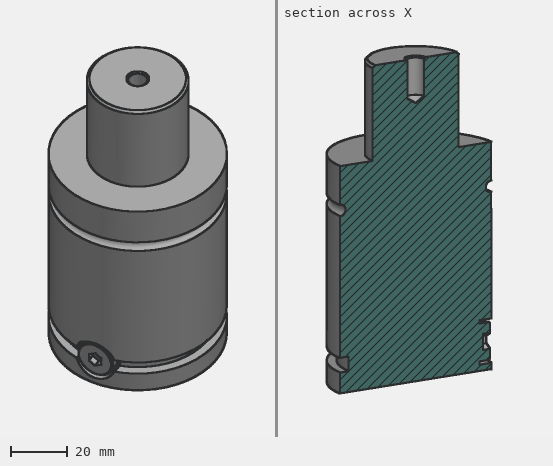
import cadquery as cq
import math

total_height = 118.0
body_radius = 63.0 / 2
body_height = 83.2
rod_radius = 36.0 / 2
rod_chamfer = 1.0

upper_groove_z = 66.9
upper_groove_radius = 2.0
upper_groove_center_offset = 0.2

lower_groove_bottom = 7.8
lower_groove_width = 5.2
lower_groove_floor_radius = 28.0

rod_hole_diameter = 6.8
rod_hole_depth = 14.2
countersink_diameter = 8.0
drill_point_angle = 118.0

plug_z = 10.5
recess_diameter = 16.0
recess_floor = 26.5
plug_diameter = 14.0
plug_face = 30.9
plug_chamfer = 0.5
hex_across_flats = 5.0
hex_depth = 3.0


def cylinder(radius, bottom, height):
    """Upright cylinder on the part axis."""
    return cq.Workplane("XY").workplane(offset=bottom).circle(radius).extrude(height)


def front_plane(distance):
    """Sketch plane through the plug axis, facing -Y, at a distance from the part axis."""
    return cq.Workplane("XZ", origin=(0, -distance, plug_z))


def make_body():
    rod = cylinder(rod_radius, body_height, total_height - body_height)
    rod = rod.faces(">Z").chamfer(rod_chamfer)
    return cylinder(body_radius, 0, body_height).union(rod)


def upper_groove():
    center_radius = body_radius - upper_groove_center_offset
    ring = cq.Solid.makeTorus(center_radius, upper_groove_radius, cq.Vector(0, 0, upper_groove_z))
    bottom = upper_groove_z - upper_groove_radius
    width = 2 * upper_groove_radius
    lips = cylinder(body_radius, bottom, width).cut(cylinder(center_radius, bottom, width))
    return lips.union(cq.Workplane(ring))


def lower_groove():
    outer = cylinder(body_radius, lower_groove_bottom, lower_groove_width)
    core = cylinder(lower_groove_floor_radius, lower_groove_bottom, lower_groove_width)
    return outer.cut(core)


def rod_hole():
    """Revolved countersunk hole with a conical drill point."""
    hole_radius = rod_hole_diameter / 2
    countersink_radius = countersink_diameter / 2
    countersink_depth = countersink_radius - hole_radius
    hole_bottom = total_height - rod_hole_depth
    point_depth = hole_radius / math.tan(math.radians(drill_point_angle / 2))
    return (
        cq.Workplane("XZ")
        .moveTo(0, total_height)
        .lineTo(countersink_radius, total_height)
        .lineTo(hole_radius, total_height - countersink_depth)
        .lineTo(hole_radius, hole_bottom)
        .lineTo(0, hole_bottom - point_depth)
        .close()
        .revolve(360, (0, 0, 0), (0, 1, 0))
    )


def plug_recess():
    return front_plane(recess_floor).circle(recess_diameter / 2).extrude(body_radius - recess_floor)


def plug():
    head = front_plane(recess_floor).circle(plug_diameter / 2).extrude(plug_face - recess_floor)
    head = head.faces("<Y").chamfer(plug_chamfer)
    hex_across_corners = hex_across_flats / math.cos(math.pi / 6)
    socket = (
        front_plane(plug_face)
        .transformed(rotate=(0, 0, 90))
        .polygon(6, hex_across_corners)
        .extrude(-hex_depth)
    )
    return head.cut(socket)


result = (
    make_body()
    .cut(upper_groove())
    .cut(lower_groove())
    .cut(rod_hole())
    .cut(plug_recess())
    .union(plug())
)